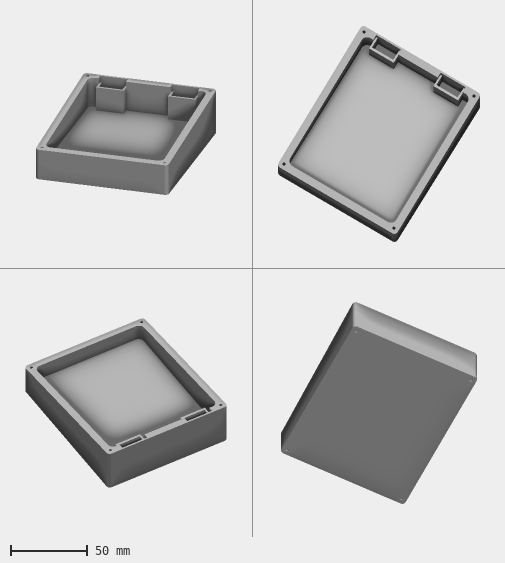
import cadquery as cq
import math

width = 90.5
length = 108.0
rear_height = 30.5
slope_angle = 5.0
corner_radius = 2.5

wall = 5.0
cavity_radius = 4.0
floor_height = 9.5

hole_diameter = 2.0
hole_inset = 3.5

compartment_spacing = 49.0
compartment_width = 18.8
compartment_top = 25.8
side_wall = 1.3
front_wall = 1.6
rear_wall = 1.3
compartment_depth = 9.1

front_height = rear_height - length * math.tan(math.radians(slope_angle))
compartment_rear = length / 2 - rear_wall


def block(size_x, size_y, bottom, top):
    """Upright block centred on Z, between two heights."""
    return cq.Workplane("XY").workplane(offset=bottom).rect(size_x, size_y).extrude(top - bottom)


def rear_block(size_x, depth, bottom, top):
    """Block reaching forward from the rear face of the compartments."""
    return block(size_x, depth, bottom, top).translate((0, compartment_rear - depth / 2, 0))


def make_shell():
    """Rounded box with a sloping top, hollowed from above."""
    side_profile = [
        (-length / 2, 0),
        (length / 2, 0),
        (length / 2, rear_height),
        (-length / 2, front_height),
    ]
    body = cq.Workplane("YZ").polyline(side_profile).close().extrude(width / 2, both=True)
    outline = block(width, length, 0, rear_height).edges("|Z").fillet(corner_radius)
    cavity = block(width - 2 * wall, length - 2 * wall, floor_height, rear_height)
    return body.intersect(outline).cut(cavity.edges("|Z").fillet(cavity_radius))


def add_compartment(body, x):
    """Notch the rear wall, then add a thin-walled compartment and hollow it."""
    inner_width = compartment_width - 2 * side_wall
    inner_depth = compartment_depth - front_wall
    notch = rear_block(compartment_width, compartment_depth, compartment_top, rear_height)
    walls = rear_block(compartment_width, compartment_depth, floor_height, compartment_top)
    pocket = rear_block(inner_width, inner_depth, floor_height, compartment_top)
    position = (x, 0, 0)
    body = body.cut(notch.translate(position)).union(walls.translate(position))
    return body.cut(pocket.translate(position))


def make_screw_holes():
    """Through holes at the four corners."""
    holes = cq.Workplane("XY").rect(width - 2 * hole_inset, length - 2 * hole_inset, forConstruction=True)
    return holes.vertices().circle(hole_diameter / 2).extrude(rear_height)


result = make_shell()
for side in (-1, 1):
    result = add_compartment(result, side * compartment_spacing / 2)
result = result.cut(make_screw_holes())